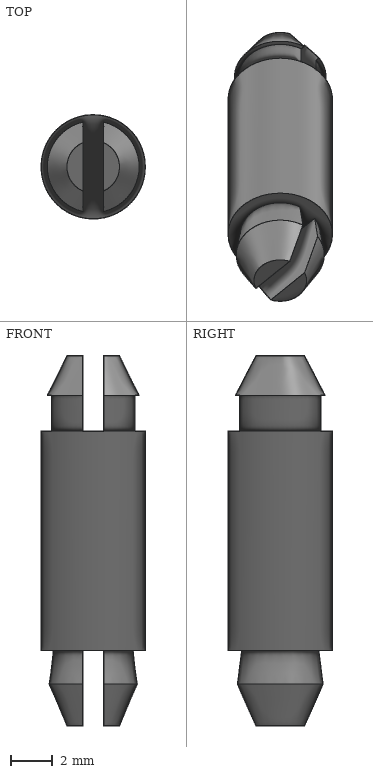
import cadquery as cq

total_length = 17.7
body_radius = 2.5
body_length = 10.5
slot_width = 1.0

end_length = (total_length - body_length) / 2
tip_radius = 1.25

upper_neck_radius = 2.0
upper_head_radius = 2.2
upper_head_length = 1.9

lower_neck_radius = 1.91
lower_head_radius = 2.1
lower_head_length = 2.0

body_bottom = end_length
body_top = body_bottom + body_length
upper_head_bottom = total_length - upper_head_length


def revolved_body():
    """Spacer body with both snap ends, turned about Z."""
    profile = [
        (0, 0),
        (tip_radius, 0),
        (lower_head_radius, lower_head_length),
        (lower_neck_radius, body_bottom),
        (body_radius, body_bottom),
        (body_radius, body_top),
        (upper_neck_radius, body_top),
        (upper_neck_radius, upper_head_bottom),
        (upper_head_radius, upper_head_bottom),
        (tip_radius, total_length),
        (0, total_length),
    ]
    return cq.Workplane("XZ").polyline(profile).close().revolve(360, (0, 0, 0), (0, 1, 0))


def end_slot(bottom):
    """Slot cutter along Y that splits one snap end down to the body face."""
    slot = cq.Workplane("XY").box(slot_width, 2 * body_radius, end_length, centered=(True, True, False))
    return slot.translate((0, 0, bottom))


result = revolved_body()
for slot_bottom in (0, body_top):
    result = result.cut(end_slot(slot_bottom))